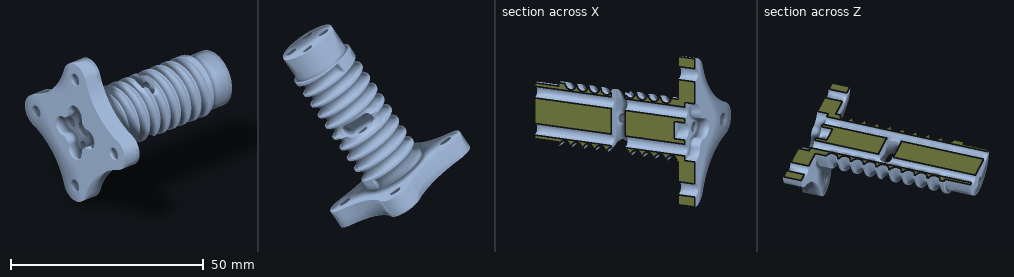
import cadquery as cq
import math

FLANGE_THICKNESS = 5.0
THREAD_LENGTH = 35.2
JOURNAL_LENGTH = 7.0
TOTAL_LENGTH = FLANGE_THICKNESS + THREAD_LENGTH + JOURNAL_LENGTH

ARM_REACH = 20.0
ARM_TIP_RADIUS = 4.5
ARM_HOLE_RADIUS = ARM_REACH - ARM_TIP_RADIUS
ARM_HOLE_DIAMETER = 3.4
WAIST_RADIUS = 20.0

THREAD_DIAMETER = 17.0
JOURNAL_DIAMETER = 15.15

GROOVE_PITCH = 3.5
GROOVE_WHOLE_TURNS = 9
GROOVE_OVERRUN_ANGLE = 36
GROOVE_TURNS = GROOVE_WHOLE_TURNS + 2 * GROOVE_OVERRUN_ANGLE / 360
GROOVE_DIAMETER = 3.0
GROOVE_LENGTH = GROOVE_PITCH * GROOVE_TURNS
GROOVE_START = FLANGE_THICKNESS + (THREAD_LENGTH - GROOVE_LENGTH) / 2
GROOVE_PATH_RADIUS = THREAD_DIAMETER / 2

SCREW_CIRCLE_RADIUS = 5.0
SCREW_HOLE_DIAMETER = 3.0
RECESS_WIDTH = 5.5
RECESS_DEPTH = 3.0
RECESS_CORNER_RADIUS = 2.0
CENTRE_HOLE_DIAMETER = 4.5
CENTRE_HOLE_DEPTH = 6.0

SLOT_LENGTH = 9.0
SLOT_WIDTH = 4.0
SLOT_POSITION = FLANGE_THICKNESS + THREAD_LENGTH / 2

CREST_RELIEF_FLOOR_Z = -6.0

QUARTER_TURNS = (0, 90, 180, 270)


def plane_at(y):
    """Workplane across the spindle axis at y, with its normal along +Y."""
    return cq.Workplane(cq.Plane(origin=(0, y, 0), xDir=(1, 0, 0), normal=(0, 1, 0)))


def turned(point, degrees):
    """Point turned about the origin."""
    angle = math.radians(degrees)
    x, y = point
    return (
        x * math.cos(angle) - y * math.sin(angle),
        x * math.sin(angle) + y * math.cos(angle),
    )


def make_flange():
    """Plate with four rounded arms along X and Z, each with a bolt hole."""
    reach = WAIST_RADIUS + ARM_TIP_RADIUS
    waist_centre = (ARM_HOLE_RADIUS + math.sqrt(2 * reach**2 - ARM_HOLE_RADIUS**2)) / 2
    tip_share = ARM_TIP_RADIUS / reach
    along = ARM_HOLE_RADIUS + (waist_centre - ARM_HOLE_RADIUS) * tip_share
    across = waist_centre * tip_share
    waist_middle = waist_centre - WAIST_RADIUS / math.sqrt(2)

    outline = plane_at(0).moveTo(along, -across)
    for degrees in QUARTER_TURNS:
        outline = outline.threePointArc(
            turned((ARM_REACH, 0), degrees), turned((along, across), degrees)
        )
        outline = outline.threePointArc(
            turned((waist_middle, waist_middle), degrees),
            turned((along, -across), degrees + 90),
        )
    flange = outline.close().extrude(FLANGE_THICKNESS)
    holes = (
        plane_at(0)
        .polarArray(ARM_HOLE_RADIUS, 0, 360, len(QUARTER_TURNS))
        .circle(ARM_HOLE_DIAMETER / 2)
        .extrude(FLANGE_THICKNESS)
    )
    return flange.cut(holes)


def make_groove():
    """Round cutter swept along a right-handed helix about the spindle axis."""
    helix = cq.Wire.makeHelix(GROOVE_PITCH, GROOVE_LENGTH, GROOVE_PATH_RADIUS)
    lead = GROOVE_PITCH / (2 * math.pi)
    section_plane = cq.Plane(
        origin=(GROOVE_PATH_RADIUS, 0, 0), xDir=(1, 0, 0), normal=(0, GROOVE_PATH_RADIUS, lead)
    )
    groove = (
        cq.Workplane(section_plane)
        .circle(GROOVE_DIAMETER / 2)
        .sweep(cq.Workplane(obj=helix), isFrenet=True)
    )
    return (
        groove.rotate((0, 0, 0), (0, 0, 1), 90 - GROOVE_OVERRUN_ANGLE)
        .rotate((0, 0, 0), (1, 0, 0), -90)
        .translate((0, GROOVE_START, 0))
    )


def make_crest_relief():
    """Straight round cutter across the spindle, parallel to X, below the slot centre."""
    axis_z = CREST_RELIEF_FLOOR_Z - GROOVE_DIAMETER / 2
    return (
        cq.Workplane("YZ")
        .center(SLOT_POSITION, axis_z)
        .circle(GROOVE_DIAMETER / 2)
        .extrude(THREAD_DIAMETER / 2, both=True)
    )


def make_spindle():
    thread_body = plane_at(FLANGE_THICKNESS).circle(THREAD_DIAMETER / 2).extrude(THREAD_LENGTH)
    journal = (
        plane_at(FLANGE_THICKNESS + THREAD_LENGTH).circle(JOURNAL_DIAMETER / 2).extrude(JOURNAL_LENGTH)
    )
    grooved_body = thread_body.cut(make_groove()).cut(make_crest_relief())
    return grooved_body.union(journal)


def make_recess():
    arm_length = 2 * SCREW_CIRCLE_RADIUS + RECESS_WIDTH
    arm = plane_at(0).slot2D(arm_length, RECESS_WIDTH).extrude(RECESS_DEPTH)
    cross = arm.union(arm.rotate((0, 0, 0), (0, 1, 0), 90))
    reach = (RECESS_WIDTH / 2 + SCREW_CIRCLE_RADIUS) / 2
    inner_corners = cq.selectors.BoxSelector((-reach, 0, -reach), (reach, RECESS_DEPTH, reach))
    return cross.edges("|Y").edges(inner_corners).fillet(RECESS_CORNER_RADIUS)


def make_screw_holes():
    return (
        plane_at(0)
        .polarArray(SCREW_CIRCLE_RADIUS, 0, 360, len(QUARTER_TURNS))
        .circle(SCREW_HOLE_DIAMETER / 2)
        .extrude(TOTAL_LENGTH)
    )


def make_centre_hole():
    return plane_at(0).circle(CENTRE_HOLE_DIAMETER / 2).extrude(CENTRE_HOLE_DEPTH)


def make_slot():
    return (
        cq.Workplane("XY")
        .center(0, SLOT_POSITION)
        .slot2D(SLOT_LENGTH, SLOT_WIDTH)
        .extrude(THREAD_DIAMETER, both=True)
    )


result = (
    make_flange()
    .union(make_spindle())
    .cut(make_recess())
    .cut(make_screw_holes())
    .cut(make_centre_hole())
    .cut(make_slot())
)